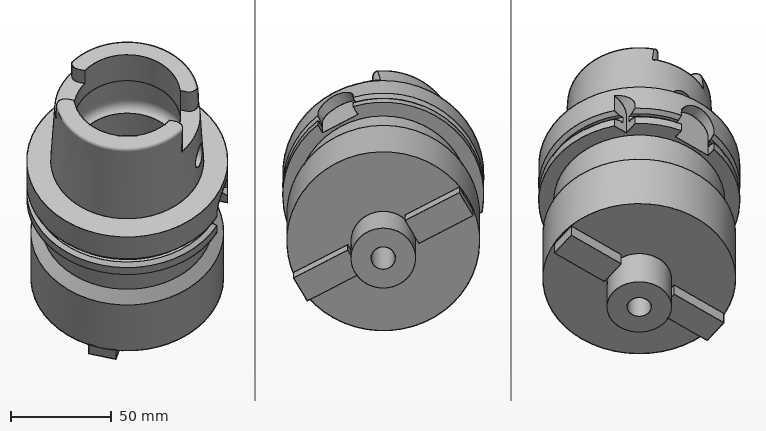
import cadquery as cq
import math


total_height = 162.0
key_bottom = 15.0
body_bottom = 22.4
body_top = 57.5
neck_bottom = 63.3
flange_bottom = 83.3
flange_top = 112.1

flange_diameter = 100.0
flange_radius = flange_diameter / 2
body_radius = 48.0
neck_radius = 42.6
arbor_radius = 16.0

groove_bottom = 90.0
groove_width = 3.9
groove_radius = 46.0
groove_lip_height = 1.5
groove_lip_width = 2.5

taper_base_radius = 38.0
taper_ratio = 1 / 20
shank_height = total_height - flange_top
taper_top_radius = taper_base_radius - taper_ratio * shank_height
rim_fillet = 1.6

mouth_radius = 26.5
mouth_depth = 20.0
clamp_radius = 31.5
clamp_wall_bottom = 122.0
clamp_fillet = clamp_radius - mouth_radius
cavity_floor = 100.0
tube_bore_radius = 12.0
tube_bore_depth = 20.0
through_hole_radius = 6.0
cross_hole_radius = 6.0
cross_hole_height = 127.2

notch_width = 20.1
notch_corner_radius = 4.5
notch_flat_offset = 32.4
shallow_notch_depth = 9.9
deep_notch_depth = 14.9

slot_width = 20.1
slot_top = 107.5
drive_slot_floor = 44.0
side_slot_floor = 31.6
side_slot_center = 41.3

key_width = 14.1
key_inner = 16.4
key_outer = 47.1


def make_outer_body():
    """Solid of revolution from the arbor tip to the shank rim."""
    groove_top = groove_bottom + groove_width
    lip_radius = flange_radius - groove_lip_width
    body = (
        cq.Workplane("XZ")
        .moveTo(0, 0)
        .lineTo(arbor_radius, 0)
        .lineTo(arbor_radius, body_bottom)
        .lineTo(body_radius, body_bottom)
        .lineTo(body_radius, body_top)
        .lineTo(neck_radius, neck_bottom)
        .lineTo(neck_radius, flange_bottom)
        .lineTo(flange_radius, flange_bottom)
        .lineTo(flange_radius, groove_bottom - groove_lip_height)
        .lineTo(lip_radius, groove_bottom)
        .lineTo(groove_radius, groove_bottom)
        .lineTo(groove_radius, groove_top)
        .lineTo(lip_radius, groove_top)
        .lineTo(flange_radius, groove_top + groove_lip_height)
        .lineTo(flange_radius, flange_top)
        .lineTo(taper_base_radius, flange_top)
        .lineTo(taper_top_radius, total_height)
        .lineTo(0, total_height)
        .close()
        .revolve(360, (0, 0, 0), (0, 1, 0))
    )
    return body.faces(">Z").edges().fillet(rim_fillet)


def make_cavity():
    """Stepped bore, open at the rim and running through to the arbor tip."""
    mouth_bottom = total_height - mouth_depth
    tube_bore_bottom = cavity_floor - tube_bore_depth
    fillet_bottom = clamp_wall_bottom - clamp_fillet
    fillet_middle = (
        mouth_radius + clamp_fillet * math.sin(math.pi / 4),
        clamp_wall_bottom - clamp_fillet * math.cos(math.pi / 4),
    )
    return (
        cq.Workplane("XZ")
        .moveTo(0, 0)
        .lineTo(through_hole_radius, 0)
        .lineTo(through_hole_radius, tube_bore_bottom)
        .lineTo(tube_bore_radius, tube_bore_bottom)
        .lineTo(tube_bore_radius, cavity_floor)
        .lineTo(mouth_radius, cavity_floor)
        .lineTo(mouth_radius, fillet_bottom)
        .threePointArc(fillet_middle, (clamp_radius, clamp_wall_bottom))
        .lineTo(clamp_radius, mouth_bottom)
        .lineTo(mouth_radius, mouth_bottom)
        .lineTo(mouth_radius, total_height)
        .lineTo(0, total_height)
        .close()
        .revolve(360, (0, 0, 0), (0, 1, 0))
    )


def make_rim_notch(side, depth):
    """Notch through one side of the rim, flared by rounded outer corners."""
    half_width = notch_width / 2
    corner_start = notch_flat_offset - notch_corner_radius
    corner_center_y = half_width + notch_corner_radius
    corner_reach = notch_corner_radius * math.sin(math.pi / 4)
    middle_x = side * (corner_start + corner_reach)
    middle_y = corner_center_y - corner_reach
    outer_x = side * flange_radius
    flat_x = side * notch_flat_offset
    return (
        cq.Workplane("XY", origin=(0, 0, total_height - depth))
        .moveTo(0, -half_width)
        .lineTo(side * corner_start, -half_width)
        .threePointArc((middle_x, -middle_y), (flat_x, -corner_center_y))
        .lineTo(flat_x, -flange_radius)
        .lineTo(outer_x, -flange_radius)
        .lineTo(outer_x, flange_radius)
        .lineTo(flat_x, flange_radius)
        .lineTo(flat_x, corner_center_y)
        .threePointArc((middle_x, middle_y), (side * corner_start, half_width))
        .lineTo(0, half_width)
        .close()
        .extrude(depth)
    )


def make_flange_slot(side, center_y, floor):
    """Round-topped slot cut along X, from a flat floor out past the flange."""
    half_width = slot_width / 2
    arch_start = slot_top - half_width
    return (
        cq.Workplane("YZ", origin=(side * floor, 0, 0))
        .moveTo(center_y - half_width, flange_bottom)
        .lineTo(center_y - half_width, arch_start)
        .threePointArc((center_y, slot_top), (center_y + half_width, arch_start))
        .lineTo(center_y + half_width, flange_bottom)
        .close()
        .extrude(side * (flange_radius - floor))
    )


def make_key(side):
    """Rectangular drive key under the body, lying along Y."""
    key_length = key_outer - key_inner
    key_height = body_bottom - key_bottom
    key_center_y = side * (key_inner + key_outer) / 2
    return (
        cq.Workplane("XY", origin=(0, key_center_y, key_bottom))
        .rect(key_width, key_length)
        .extrude(key_height)
    )


result = make_outer_body().cut(make_cavity())

cross_hole = (
    cq.Workplane("YZ", origin=(0, 0, cross_hole_height))
    .circle(cross_hole_radius)
    .extrude(flange_radius, both=True)
)
result = result.cut(cross_hole)

for side, depth in ((-1, shallow_notch_depth), (1, deep_notch_depth)):
    result = result.cut(make_rim_notch(side, depth))
    result = result.cut(make_flange_slot(side, 0, drive_slot_floor))

result = result.cut(make_flange_slot(-1, side_slot_center, side_slot_floor))

for side in (-1, 1):
    result = result.union(make_key(side))